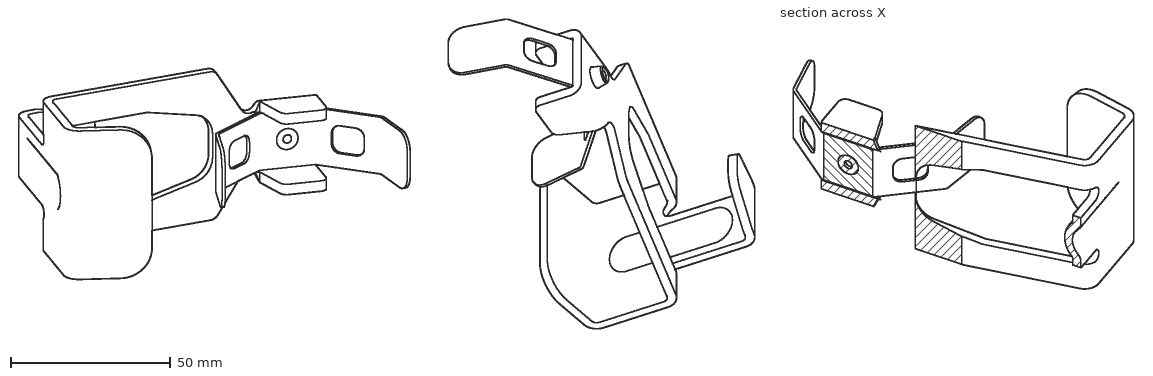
import cadquery as cq
import math


SHEET = 3.0
BEND_INNER = 2.0
BEND_OUTER = BEND_INNER + SHEET
BRACKET_WIDTH = 50.0
HALF_WIDTH = BRACKET_WIDTH / 2

ARM_LEAN = 10.2
ARM_KINK_Y = 58.9
ARM_KINK_INNER = 3.2
ARM_END_Y = 92.7
ARM_FOOT_X = ARM_KINK_Y * math.tan(math.radians(ARM_LEAN))
NECK_HALF = 9.6
NECK_CORNER_Y = 69.2
NECK_RELIEF_R = 2.5
SHOULDER_Y = 59.7
SHOULDER_R = 3.0

WINDOW_HALF = 15.0
WINDOW_START = BEND_OUTER * math.tan(math.radians(90 - ARM_LEAN) / 2)
WINDOW_STRAIGHT = 36.2
WINDOW_LENGTH = 59.2
WINDOW_END_HALF = 9.9
WINDOW_R = 7.5

FLANGE_LEAN = 12.0
FLANGE_LENGTH = 26.8
RIGHT_FOOT_X = 41.2
RIGHT_CORNER_R = 10.0
LEFT_FOOT_X = -16.6
TONGUE_HALF = 10.1
TONGUE_TAPER_START = 7.1
TONGUE_END_HALF = 6.3
TONGUE_CORNER_R = 5.0

SLOT_END_X = 14.9
SLOT_R = (WINDOW_HALF - TONGUE_HALF) / 2
SLOT_CENTRE_X = SLOT_END_X - SLOT_R
SLOT_CENTRE_Z = TONGUE_HALF + SLOT_R

BEAD_CENTRE_X = 12.2
BEAD_LENGTH = 31.3
BEAD_DEPTH = 3.0
BEAD_R = 7.3
BEAD_END_R = 4.3
BEAD_LIP_R = 3.3

EAR_HALF = 13.7
EAR_TIP_X = 17.0
EAR_SHEET = 3.5
EAR_BEND_INNER = 0.6
EAR_BEND_OUTER = EAR_BEND_INNER + EAR_SHEET
EAR_TIP_START_Y = 77.9
EAR_RELIEF_ANGLE = 67.0
EAR_CORNER_R = 2.5

CLIP_SHEET = 1.0
CLIP_HALF_WIDTH = 9.6
CLIP_Y = 83.0
CLIP_HALF_SPAN = 113.8 - CLIP_Y
CLIP_WEB_HALF = 9.3
CLIP_KINK_X = 17.4
CLIP_TIP_X = 36.3
CLIP_TAIL_ANGLE = 10.0
CLIP_TAIL_RISE = (CLIP_TIP_X - CLIP_KINK_X) * math.tan(math.radians(CLIP_TAIL_ANGLE))
CLIP_KINK_HALF = CLIP_HALF_SPAN - CLIP_TAIL_RISE
CLIP_BEND_INNER = 1.0
CLIP_CORNER_R = 5.5
CLIP_HOLE_LENGTH = 11.2
CLIP_HOLE_WIDTH = 9.3
CLIP_HOLE_R = 3.0

RIVET_D = 7.1
RIVET_TIP_D = 5.6
RIVET_HEAD = 3.8
RIVET_CHAMFER = 0.5
RIVET_BORE_D = 2.7
RIVET_SINK_DEPTH = 0.5
RIVET_END_X = SHEET + CLIP_SHEET

FAR = 227.7


def inner_side(outer, thickness):
    """Mitred offset of an open polyline, to the left of its direction of travel."""
    headings = [
        math.atan2(end[1] - start[1], end[0] - start[0])
        for start, end in zip(outer, outer[1:])
    ]
    inner = []
    for index, (x, y) in enumerate(outer):
        before = headings[max(index - 1, 0)]
        after = headings[min(index, len(headings) - 1)]
        half_turn = math.remainder(after - before, 2 * math.pi) / 2
        normal = before + half_turn + math.pi / 2
        reach = thickness / math.cos(half_turn)
        inner.append((x + reach * math.cos(normal), y + reach * math.sin(normal)))
    return inner


def round_edge(body, point, radius, direction=None):
    """Fillet the one edge whose middle lies nearest to the point."""
    edges = body.edges(direction) if direction else body.edges()
    return edges.edges(cq.NearestToPointSelector(point)).fillet(radius)


def bent_sheet(outer, thickness, half_width, inner_radii):
    """Sheet that follows an open polyline in XY, with every bend rounded by its inner radius."""
    inner = inner_side(outer, thickness)
    sheet = cq.Workplane("XY").polyline(outer + inner[::-1]).close().extrude(half_width, both=True)
    for outside, inside, radius in zip(outer[1:-1], inner[1:-1], inner_radii):
        sheet = round_edge(sheet, (*inside, 0), radius, "|Z")
        sheet = round_edge(sheet, (*outside, 0), radius + thickness, "|Z")
    return sheet


def round_tip(sheet, outer, thickness, half_width, radius):
    """Round the two corners at the last point of a bent sheet."""
    outer_tip = outer[-1]
    inner_tip = inner_side(outer, thickness)[-1]
    x = (outer_tip[0] + inner_tip[0]) / 2
    y = (outer_tip[1] + inner_tip[1]) / 2
    for side in (1, -1):
        sheet = round_edge(sheet, (x, y, side * half_width), radius)
    return sheet


def along_plane(origin, heading):
    """Work plane whose x runs along a heading in XY (degrees) and whose y runs along Z."""
    angle = math.radians(heading)
    return cq.Workplane(
        cq.Plane(
            origin=(origin[0], origin[1], 0),
            xDir=(math.cos(angle), math.sin(angle), 0),
            normal=(math.sin(angle), -math.cos(angle), 0),
        )
    )


def flange_tip(foot_x, side):
    lean = math.radians(FLANGE_LEAN)
    return (foot_x + side * FLANGE_LENGTH * math.sin(lean), FLANGE_LENGTH * math.cos(lean))


def arm_silhouette():
    """Arm as seen along X: full width, sloping in to the neck."""
    outline = [
        (0, HALF_WIDTH),
        (SHOULDER_Y, HALF_WIDTH),
        (NECK_CORNER_Y, NECK_HALF),
        (ARM_END_Y, NECK_HALF),
    ]
    mirrored = [(y, -z) for y, z in reversed(outline)]
    shape = cq.Workplane("YZ").polyline(outline + mirrored).close().extrude(FAR, both=True)
    for side in (1, -1):
        shape = round_edge(shape, (0, SHOULDER_Y, side * HALF_WIDTH), SHOULDER_R, "|X")
        shape = round_edge(shape, (0, NECK_CORNER_Y, side * NECK_HALF), NECK_RELIEF_R, "|X")
    return shape


def arm_window():
    outline = [
        (WINDOW_START, WINDOW_HALF),
        (WINDOW_STRAIGHT, WINDOW_HALF),
        (WINDOW_LENGTH, WINDOW_END_HALF),
        (WINDOW_LENGTH, -WINDOW_END_HALF),
        (WINDOW_STRAIGHT, -WINDOW_HALF),
        (WINDOW_START, -WINDOW_HALF),
    ]
    plane = along_plane((ARM_FOOT_X, 0), 90 + ARM_LEAN)
    window = plane.polyline(outline).close().extrude(2 * SHEET, both=True)
    end_x, end_y, _ = plane.plane.toWorldCoords((WINDOW_LENGTH, 0)).toTuple()
    for side in (1, -1):
        window = round_edge(window, (end_x, end_y, side * WINDOW_END_HALF), WINDOW_R)
    return window


def bend_gap():
    """Block that parts the arm's two strips at their foot and makes room for the tongue."""
    sides = (
        cq.Workplane("XY")
        .box(FAR, 2 * BEND_OUTER, 2 * WINDOW_HALF)
        .translate((SLOT_CENTRE_X - FAR / 2, 0, 0))
    )
    middle = (
        cq.Workplane("XY")
        .box(FAR, 2 * BEND_OUTER, 2 * SLOT_CENTRE_Z)
        .translate((SLOT_END_X - FAR / 2, 0, 0))
    )
    return sides.union(middle)


def slot_ends():
    """Round ends of the slots on both sides of the tongue."""
    return (
        cq.Workplane("XZ")
        .pushPoints([(SLOT_CENTRE_X, side * SLOT_CENTRE_Z) for side in (1, -1)])
        .circle(SLOT_R)
        .extrude(BEND_OUTER, both=True)
    )


def arm_and_right_flange():
    path = [
        (0, ARM_END_Y),
        (0, ARM_KINK_Y),
        (ARM_FOOT_X, 0),
        (RIGHT_FOOT_X, 0),
        flange_tip(RIGHT_FOOT_X, 1),
    ]
    body = bent_sheet(path, SHEET, HALF_WIDTH, [ARM_KINK_INNER, BEND_INNER, BEND_INNER])
    body = round_tip(body, path, SHEET, HALF_WIDTH, RIGHT_CORNER_R)
    return body.intersect(arm_silhouette()).cut(arm_window()).cut(bend_gap())


def tongue():
    """Middle strip of the base plate with the tapered left flange."""
    tip = flange_tip(LEFT_FOOT_X, -1)
    path = [tip, (LEFT_FOOT_X, 0), (SLOT_END_X, 0)]
    body = bent_sheet(path, SHEET, TONGUE_HALF, [BEND_INNER])
    plane = along_plane((LEFT_FOOT_X, 0), 90 + FLANGE_LEAN)
    for side in (1, -1):
        taper = [
            (TONGUE_TAPER_START, side * TONGUE_HALF),
            (FLANGE_LENGTH, side * TONGUE_END_HALF),
            (FLANGE_LENGTH, side * TONGUE_HALF),
        ]
        body = body.cut(plane.polyline(taper).close().extrude(2 * SHEET, both=True))
    for side in (1, -1):
        body = round_edge(body, (*tip, side * TONGUE_END_HALF), TONGUE_CORNER_R)
    root = (
        cq.Workplane("XY", origin=(SLOT_CENTRE_X, 0, 0))
        .rect(SLOT_R, SHEET, centered=False)
        .extrude(SLOT_CENTRE_Z, both=True)
    )
    return body.union(root)


def bead_form(growth):
    """Bead volume: a round-bottomed trough with turned ends, grown by an offset."""
    radius = BEAD_R + growth
    depth = BEAD_DEPTH + growth
    axis_y = BEAD_DEPTH - BEAD_END_R
    left_x = BEAD_CENTRE_X - BEAD_LENGTH / 2
    chord_half = math.sqrt(radius**2 - (radius - depth + axis_y)**2)

    def section(x):
        return (
            cq.Workplane("YZ", origin=(x, 0, 0))
            .moveTo(axis_y, -chord_half)
            .threePointArc((depth, 0), (axis_y, chord_half))
            .close()
        )

    form = section(left_x).extrude(BEAD_LENGTH)
    for x in (left_x, left_x + BEAD_LENGTH):
        form = form.union(section(x).revolve(360, (axis_y, 0), (axis_y, 1)))
    return form


def add_bead(body):
    above_face = cq.Workplane("XY").box(FAR, FAR, FAR).translate((0, FAR / 2, 0))
    body = body.union(bead_form(SHEET).intersect(above_face))
    body = body.cut(bead_form(0))
    rim = cq.selectors.BoxSelector(
        (BEAD_CENTRE_X - BEAD_LENGTH, -0.1, -TONGUE_HALF + 0.1),
        (BEAD_CENTRE_X + BEAD_LENGTH, 0.1, TONGUE_HALF - 0.1),
        boundingbox=True,
    )
    return body.edges(rim).fillet(BEAD_LIP_R)


def ear(side):
    """Ear folded off one side of the arm's end; side is +1 or -1 along Z."""
    relief_y = NECK_CORNER_Y + NECK_RELIEF_R * math.tan(
        math.atan2(HALF_WIDTH - NECK_HALF, NECK_CORNER_Y - SHOULDER_Y) / 2
    )
    bend_z = EAR_HALF - EAR_BEND_OUTER
    bend_reach = math.sqrt(0.5)
    body = (
        cq.Workplane("XZ", origin=(0, relief_y, 0))
        .moveTo(0, bend_z)
        .threePointArc(
            (EAR_BEND_OUTER * (1 - bend_reach), bend_z + EAR_BEND_OUTER * bend_reach),
            (EAR_BEND_OUTER, EAR_HALF),
        )
        .lineTo(EAR_TIP_X, EAR_HALF)
        .lineTo(EAR_TIP_X, EAR_HALF - EAR_SHEET)
        .lineTo(SHEET + EAR_BEND_INNER, EAR_HALF - EAR_SHEET)
        .threePointArc(
            (SHEET + EAR_BEND_INNER * (1 - bend_reach), bend_z + EAR_BEND_INNER * bend_reach),
            (SHEET, bend_z),
        )
        .close()
        .extrude(relief_y - ARM_END_Y)
    )
    slant = math.radians(EAR_RELIEF_ANGLE)
    arc_end_y = relief_y + NECK_RELIEF_R * math.sin(slant)
    arc_end_z = NECK_HALF + NECK_RELIEF_R * (1 - math.cos(slant))
    edge_y = arc_end_y + (EAR_HALF - arc_end_z) / math.tan(slant)
    relief = (
        cq.Workplane("YZ")
        .moveTo(relief_y, NECK_HALF)
        .radiusArc((arc_end_y, arc_end_z), -NECK_RELIEF_R)
        .lineTo(edge_y, EAR_HALF)
        .lineTo(relief_y, EAR_HALF)
        .close()
        .extrude(EAR_BEND_OUTER)
    )
    slope = [
        (EAR_BEND_OUTER, edge_y),
        (EAR_TIP_X, EAR_TIP_START_Y),
        (EAR_TIP_X, relief_y),
        (EAR_BEND_OUTER, relief_y),
    ]
    body = body.cut(relief).cut(cq.Workplane("XY").polyline(slope).close().extrude(EAR_HALF))
    for corner_y in (ARM_END_Y, EAR_TIP_START_Y):
        body = round_edge(body, (EAR_TIP_X, corner_y, EAR_HALF - EAR_SHEET / 2), EAR_CORNER_R, "|Z")
    return body if side > 0 else body.mirror("XY")


def rivet_hole():
    return cq.Workplane("YZ", origin=(0, CLIP_Y, 0)).circle(RIVET_D / 2).extrude(RIVET_END_X)


def make_bracket():
    body = add_bead(arm_and_right_flange().union(tongue()).cut(slot_ends()))
    for side in (1, -1):
        body = body.union(ear(side))
    return body.cut(rivet_hole())


def make_clip():
    """Thin spring: a web flat against the arm and two splayed legs with flared tails."""
    half_path = [
        (SHEET, CLIP_WEB_HALF),
        (CLIP_KINK_X, CLIP_KINK_HALF),
        (CLIP_TIP_X, CLIP_HALF_SPAN),
    ]
    upper = [(x, CLIP_Y + y) for x, y in half_path]
    lower = [(x, CLIP_Y - y) for x, y in half_path]
    path = upper[::-1] + lower
    clip = bent_sheet(path, CLIP_SHEET, CLIP_HALF_WIDTH, [CLIP_BEND_INNER] * 4)
    for root, kink, tip in (upper, lower):
        for side in (1, -1):
            clip = round_edge(clip, (*tip, side * CLIP_HALF_WIDTH), CLIP_CORNER_R)
        heading = math.degrees(math.atan2(kink[1] - root[1], kink[0] - root[0]))
        middle = ((root[0] + kink[0]) / 2, (root[1] + kink[1]) / 2)
        hole = (
            along_plane(middle, heading)
            .sketch()
            .rect(CLIP_HOLE_LENGTH, CLIP_HOLE_WIDTH)
            .vertices()
            .fillet(CLIP_HOLE_R)
            .finalize()
            .extrude(2 * CLIP_SHEET, both=True)
        )
        clip = clip.cut(hole)
    return clip.cut(rivet_hole())


def make_rivet():
    """Turned rivet: tapered head outside the arm, plain shank through the arm and the clip."""
    profile = [
        (-RIVET_HEAD, RIVET_TIP_D / 2 - RIVET_CHAMFER),
        (RIVET_CHAMFER - RIVET_HEAD, RIVET_TIP_D / 2),
        (0, RIVET_D / 2),
        (RIVET_END_X, RIVET_D / 2),
        (RIVET_END_X, RIVET_BORE_D / 2),
        (RIVET_SINK_DEPTH - RIVET_HEAD, RIVET_BORE_D / 2),
    ]
    rivet = cq.Workplane("XY").polyline(profile).close().revolve(360, (0, 0), (1, 0))
    return rivet.translate((0, CLIP_Y, 0))


bracket = make_bracket()
clip = make_clip()
rivet = make_rivet()

result = cq.Compound.makeCompound([bracket.val(), clip.val(), rivet.val()])